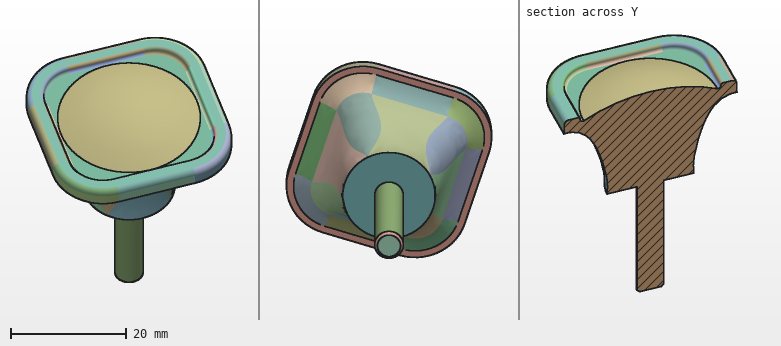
import cadquery as cq
import math

TOTAL_HEIGHT = 45.0
STUD_LENGTH = 24.0
NECK_HEIGHT = 16.0
PLATE_THICKNESS = 3.0
NECK_BASE = STUD_LENGTH
PLATE_BASE = NECK_BASE + NECK_HEIGHT
PLATE_TOP = PLATE_BASE + PLATE_THICKNESS

STUD_DIAMETER = 5.0
TIP_CHAMFER = 0.5

PLATE_WIDTH = 32.0
CORNER_RADIUS = 9.05
PLATE_EDGE_FILLET = 1.0
RECESS_INSET = 3.0
RECESS_DEPTH = 1.05
RECESS_FILLET = 0.5
SELECTION_MARGIN = 0.05

DOME_RADIUS = 12.38
RECESS_FLOOR = PLATE_TOP - RECESS_DEPTH
DOME_HEIGHT = TOTAL_HEIGHT - RECESS_FLOOR

FOOT_RADIUS = 8.0
FOOT_SEAM = 5.62
FOOT_SEAM_REACH = math.sqrt(FOOT_RADIUS**2 - FOOT_SEAM**2)
FLAT_HALF = PLATE_WIDTH / 2 - CORNER_RADIUS
SHOULDER_REACH = 11.8
FLARE_REACH = 13.6
RIM_REACH = 14.75


def square_corner_reach(reach):
    """Diagonal distance to a rounded corner that is tangent to flat sides."""
    return math.hypot(FLAT_HALF, FLAT_HALF) + reach - FLAT_HALF


def square_section(height, reach):
    return (height, reach, FLAT_HALF, reach, square_corner_reach(reach))


SHOULDER = square_section(14.25, SHOULDER_REACH)
NECK_SECTIONS = [
    (0.0, FOOT_RADIUS, FOOT_SEAM, FOOT_SEAM_REACH, FOOT_RADIUS),
    (4.3, 8.3, 4.6, 7.1, 8.78),
    (7.45, 8.9, 4.15, 8.35, 9.9),
    (10.12, 9.68, 4.7, 9.45, 11.4),
    SHOULDER,
]
FLARE_SECTIONS = [
    SHOULDER,
    square_section(15.65, FLARE_REACH),
    square_section(NECK_HEIGHT, RIM_REACH),
]


def rounded_square(width, radius, base, height):
    block = cq.Workplane("XY").workplane(offset=base).rect(width, width).extrude(height)
    return block.edges("|Z").fillet(radius)


def neck_section(height, side_reach, seam_half, seam_reach, corner_reach):
    """Closed wire of four side edges and four corner arcs."""
    corner = corner_reach * math.sqrt(0.5)
    wire = cq.Workplane("XY").workplane(offset=NECK_BASE + height).moveTo(seam_reach, -seam_half)
    for cos, sin in [(1, 0), (0, 1), (-1, 0), (0, -1)]:

        def turned(x, y):
            return (x * cos - y * sin, x * sin + y * cos)

        side_end = turned(seam_reach, seam_half)
        if side_reach > seam_reach:
            wire = wire.threePointArc(turned(side_reach, 0), side_end)
        else:
            wire = wire.lineTo(*side_end)
        wire = wire.threePointArc(turned(corner, corner), turned(seam_half, seam_reach))
    return wire.close().val()


def loft(sections):
    wires = [neck_section(*section) for section in sections]
    return cq.Workplane(cq.Solid.makeLoft(wires))


def make_stud():
    stud = cq.Workplane("XY").circle(STUD_DIAMETER / 2).extrude(STUD_LENGTH)
    return stud.faces("<Z").chamfer(TIP_CHAMFER)


def make_plate():
    plate = rounded_square(PLATE_WIDTH, CORNER_RADIUS, PLATE_BASE, PLATE_THICKNESS)
    plate = plate.faces(">Z").edges().fillet(PLATE_EDGE_FILLET)
    recess = rounded_square(
        PLATE_WIDTH - 2 * RECESS_INSET, CORNER_RADIUS - RECESS_INSET, RECESS_FLOOR, RECESS_DEPTH
    )
    recess = recess.faces("<Z").edges().fillet(RECESS_FILLET)
    plate = plate.cut(recess)
    opening_half = PLATE_WIDTH / 2 - RECESS_INSET + SELECTION_MARGIN
    opening = cq.selectors.BoxSelector(
        (-opening_half, -opening_half, PLATE_TOP - SELECTION_MARGIN),
        (opening_half, opening_half, PLATE_TOP + SELECTION_MARGIN),
    )
    return plate.edges(opening).fillet(RECESS_FILLET)


def make_dome():
    sphere_radius = (DOME_RADIUS**2 + DOME_HEIGHT**2) / (2 * DOME_HEIGHT)
    mid_radius = DOME_RADIUS / 2
    mid_height = TOTAL_HEIGHT - sphere_radius + math.sqrt(sphere_radius**2 - mid_radius**2)
    profile = (
        cq.Workplane("XZ")
        .moveTo(0, PLATE_BASE)
        .lineTo(DOME_RADIUS, PLATE_BASE)
        .lineTo(DOME_RADIUS, RECESS_FLOOR)
        .threePointArc((mid_radius, mid_height), (0, TOTAL_HEIGHT))
        .close()
    )
    return profile.revolve(360, (0, 0, 0), (0, 1, 0))


neck = loft(NECK_SECTIONS).union(loft(FLARE_SECTIONS))
result = make_stud().union(neck).union(make_plate()).union(make_dome())